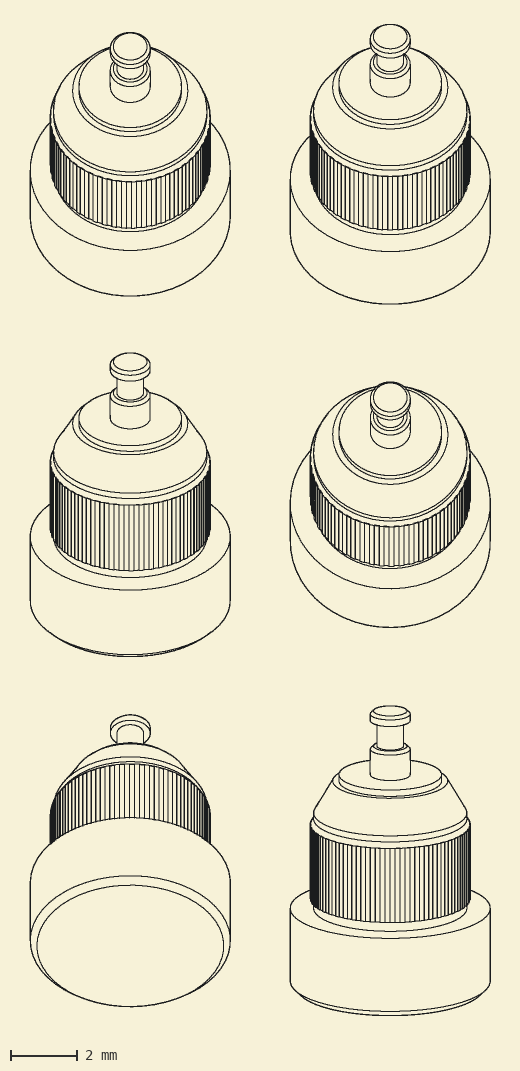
import cadquery as cq
import math

BASE_TOP = 2.5
KNURL_BOTTOM = 2.8
KNURL_TOP = 5.13
BAND_BOTTOM = 5.31
CONE_BOTTOM = 5.5
CONE_TOP = 6.5
DISC_TOP = 6.7
SHANK_TOP = 7.595
HEAD_BOTTOM = 8.395
TOTAL_HEIGHT = 8.7

BASE_DIAMETER = 6.0
NECK_DIAMETER = 4.6
KNURL_DIAMETER = 4.8
SHOULDER_DIAMETER = 3.45
DISC_DIAMETER = 3.08
PIN_DIAMETER = 1.2
PIN_NECK_DIAMETER = 0.8

BASE_CHAMFER = 0.2
PIN_CHAMFER = 0.1
RIDGE_COUNT = 50
GROOVE_DEPTH = 0.02


def turned_body():
    """Everything except the knurl grooves, as one half-profile turned about Z."""
    base = BASE_DIAMETER / 2
    neck = NECK_DIAMETER / 2
    knurl = KNURL_DIAMETER / 2
    disc = DISC_DIAMETER / 2
    pin = PIN_DIAMETER / 2
    pin_neck = PIN_NECK_DIAMETER / 2
    shoulder = SHOULDER_DIAMETER / 2
    profile = (
        cq.Workplane("XZ")
        .moveTo(0, 0)
        .lineTo(base - BASE_CHAMFER, 0)
        .lineTo(base, BASE_CHAMFER)
        .lineTo(base, BASE_TOP)
        .lineTo(neck, BASE_TOP)
        .lineTo(neck, KNURL_BOTTOM)
        .lineTo(knurl, KNURL_BOTTOM)
        .lineTo(knurl, KNURL_TOP)
        .lineTo(neck, BAND_BOTTOM)
        .lineTo(neck, CONE_BOTTOM)
        .lineTo(shoulder, CONE_TOP)
        .lineTo(disc, CONE_TOP)
        .lineTo(disc, DISC_TOP)
        .lineTo(pin, DISC_TOP)
        .lineTo(pin, SHANK_TOP - PIN_CHAMFER)
        .lineTo(pin - PIN_CHAMFER, SHANK_TOP)
        .lineTo(pin_neck, SHANK_TOP)
        .lineTo(pin_neck, HEAD_BOTTOM)
        .lineTo(pin, HEAD_BOTTOM)
        .lineTo(pin, TOTAL_HEIGHT - PIN_CHAMFER)
        .lineTo(pin - PIN_CHAMFER, TOTAL_HEIGHT)
        .lineTo(0, TOTAL_HEIGHT)
        .close()
    )
    return profile.revolve(360, (0, 0), (0, 1))


def knurl_grooves():
    """Flat-floored grooves, as wide as the ridges between them; a ridge is centred on +X."""
    pitch = 360 / RIDGE_COUNT
    knurl = KNURL_DIAMETER / 2
    width = 2 * knurl * math.sin(math.radians(pitch / 4))
    groove = cq.Workplane("XY").box(
        2 * GROOVE_DEPTH, width, KNURL_TOP - KNURL_BOTTOM, centered=(True, True, False)
    )
    groove = groove.translate((knurl, 0, KNURL_BOTTOM))
    turns = [pitch * (index + 0.5) for index in range(RIDGE_COUNT)]
    return [groove.rotate((0, 0, 0), (0, 0, 1), turn).val() for turn in turns]


result = cq.Workplane(turned_body().val().cut(*knurl_grooves()).Solids()[0])